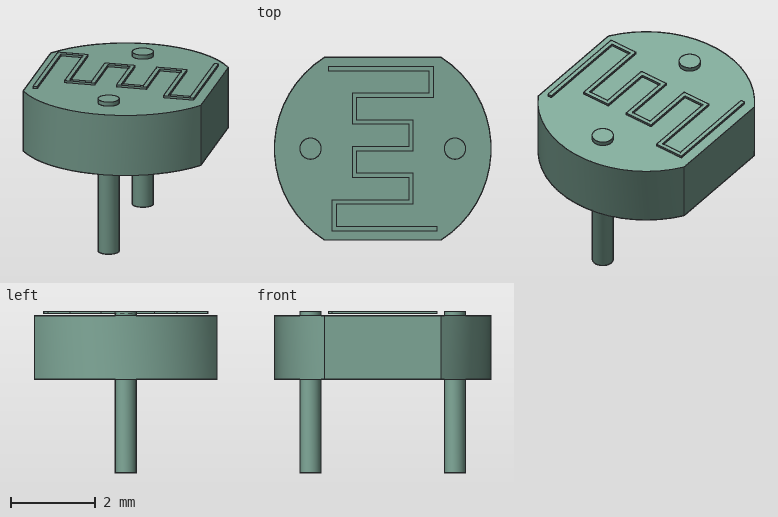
import cadquery as cq

housing_diameter = 5.1
width_across_flats = 4.3
housing_height = 1.5

total_height = 3.8
lead_diameter = 0.5
lead_offset = 1.7
lead_protrusion = 0.1
lead_top = housing_height + lead_protrusion
lead_bottom = lead_top - total_height

track_width = 0.1
track_thickness = 0.05
track_bottom = lead_top - track_thickness
row_pitch = 0.625
row_count = 7

free_end_x = 1.28
outer_turn_x = 1.195
inner_turn_x = 0.715


def make_housing():
    """Flatted disc with its two leads as one solid."""
    disc = cq.Workplane("XY").circle(housing_diameter / 2).extrude(housing_height)
    flats = cq.Workplane("XY").rect(housing_diameter, width_across_flats).extrude(housing_height)
    leads = (
        cq.Workplane("XY")
        .workplane(offset=lead_bottom)
        .pushPoints([(-lead_offset, 0), (lead_offset, 0)])
        .circle(lead_diameter / 2)
        .extrude(total_height)
    )
    return disc.intersect(flats).union(leads)


def make_track():
    """Zigzag of seven rows joined at alternating ends."""
    turn_edges = [outer_turn_x, -inner_turn_x, inner_turn_x, -inner_turn_x, inner_turn_x, -outer_turn_x]
    row_ends = [-free_end_x, *turn_edges, free_end_x]
    first_row_y = row_pitch * (row_count - 1) / 2

    def bar(x_start, x_end, y_center, depth):
        return (
            cq.Workplane("XY")
            .workplane(offset=track_bottom)
            .center((x_start + x_end) / 2, y_center)
            .rect(abs(x_end - x_start), depth)
            .extrude(track_thickness)
        )

    track = bar(row_ends[0], row_ends[1], first_row_y, track_width)
    for row in range(1, row_count):
        row_y = first_row_y - row * row_pitch
        track = track.union(bar(row_ends[row], row_ends[row + 1], row_y, track_width))

        edge = row_ends[row]
        inside_edge = edge - track_width if edge > 0 else edge + track_width
        turn = bar(edge, inside_edge, row_y + row_pitch / 2, row_pitch + track_width)
        track = track.union(turn)
    return track.clean()


housing = make_housing()
track = make_track()

result = cq.Compound.makeCompound([housing.solids().val(), track.solids().val()])